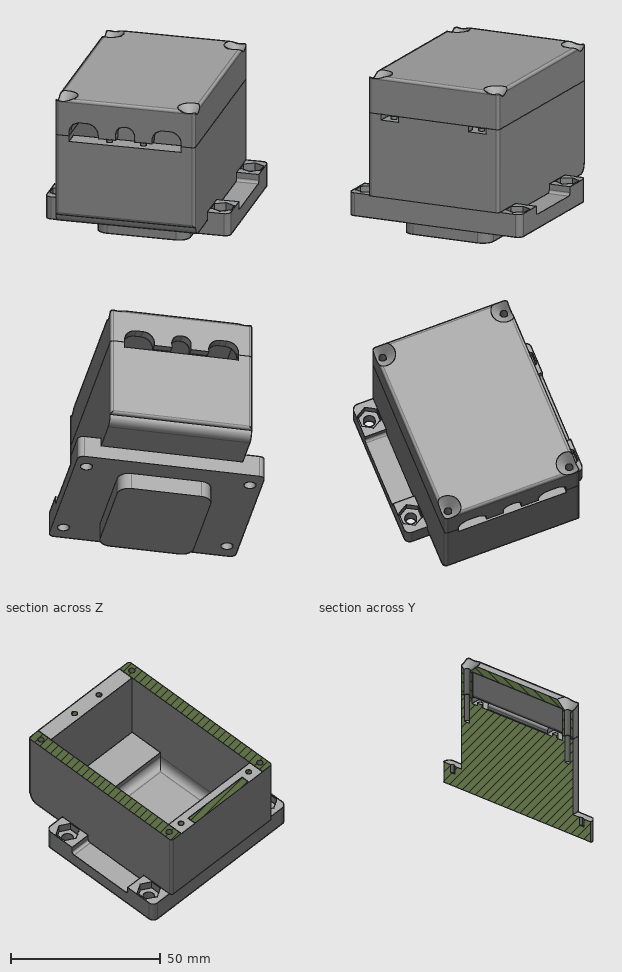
import cadquery as cq

plug_height = 6.0
skirt_bottom = 11.0
flange_top = 14.0
tray_floor = 41.0
split_height = 43.0
top_height = 56.0

box_width = 48.5
box_length = 67.0
edge_radius = 1.0
end_wall = 3.3
roof_thickness = 3.0
cavity_width = 39.0
cavity_length = box_length - 2 * end_wall

flange_width = 64.0
flange_length = 50.05
flange_corner_radius = 2.0
back_inset = 1.0
flange_y = box_length / 2 - back_inset - flange_length / 2
skirt_front_radius = flange_top - skirt_bottom
notch_length = 26.0
notch_radius = 1.0

bolt_spacing_x = 56.0
bolt_spacing_y = 38.0
bolt_hole_diameter = 4.0
nut_corner_diameter = 8.05
nut_pocket_depth = 3.0

plug_width = 32.0
plug_length = 36.0
plug_corner_radius = 4.0
plug_x = -0.5

ledge_depth = 2.7
pocket_length = cavity_length - 2 * ledge_depth
pocket_floor = flange_top
well_floor = 9.05
well_radius = 3.0
well_front_y = flange_y - flange_length / 2 + end_wall
well_length = pocket_length / 2 - well_front_y

pin_diameter = 2.0
pin_height = 1.0
pin_row_y = 30.15
front_pin_x_places = [-6.3, 5.5]
back_pin_x_places = [-16.3, 16.3]
back_tab_width = 26.0

arch_top = 48.05
side_arch_width = 10.2
side_arch_radius = 4.0
side_arch_x = (cavity_width - side_arch_width) / 2
middle_arch_width = 6.55
middle_arch_radius = 3.0

screw_inset_x = 2.4
screw_inset_y = 3.55
screw_spacing_x = box_width - 2 * screw_inset_x
screw_spacing_y = box_length - 2 * screw_inset_y
lid_hole_diameter = 2.5
base_hole_diameter = 2.0
base_hole_depth = 10.05
countersink_diameter = 8.7
countersink_angle = 90


def block(width, length, bottom, top, x=0, y=0):
    """Rectangular block centred on (x, y) between two heights."""
    return (
        cq.Workplane("XY", origin=(x, y, bottom))
        .rect(width, length)
        .extrude(top - bottom)
    )


def round_cavity_ends(body, face):
    """Round the front and back edges where a cavity opens through the chosen outer face."""
    rim = body.newObject(body.faces(face).val().innerWires()[0].Edges())
    return rim.edges("|X").fillet(edge_radius)


def flange():
    """Mounting plate with bolt holes, nut pockets and a notch along each side."""
    plate = block(flange_width, flange_length, plug_height, flange_top, y=flange_y)
    plate = plate.edges("|Z").fillet(flange_corner_radius)
    notch = block(flange_width, notch_length, skirt_bottom, flange_top, y=flange_y)
    notch = notch.edges("|X and <Z").fillet(notch_radius)
    bolt_places = cq.Workplane("XY", origin=(0, flange_y, flange_top)).rect(
        bolt_spacing_x, bolt_spacing_y, forConstruction=True
    ).vertices()
    bolt_holes = bolt_places.circle(bolt_hole_diameter / 2).extrude(plug_height - flange_top)
    nut_outline = cq.Sketch().regularPolygon(nut_corner_diameter / 2, 6)
    nut_pockets = bolt_places.placeSketch(nut_outline).extrude(-nut_pocket_depth)
    return plate.cut(notch).cut(bolt_holes).cut(nut_pockets)


def skirt():
    """Bottom of the base, reaching up into the tray block, with a round front edge."""
    length = box_length - 2 * back_inset
    return (
        block(box_width, length, skirt_bottom, flange_top + edge_radius)
        .edges("|X and <Y and <Z")
        .fillet(skirt_front_radius)
    )


def plug():
    """Rounded block under the flange."""
    body = block(plug_width, plug_length, 0, plug_height, plug_x, flange_y)
    return body.edges("|Z").fillet(plug_corner_radius)


def tray():
    """Upper part of the base, with a shallow tray open to the front and back."""
    body = block(box_width, box_length, flange_top, split_height)
    body = body.edges("|Z or (|X and <Y and <Z)").fillet(edge_radius)
    body = body.cut(block(cavity_width, cavity_length, tray_floor, split_height))
    body = round_cavity_ends(body, ">Z")

    end_y = (box_length - end_wall) / 2
    front_slot = block(cavity_width, end_wall, tray_floor, split_height, y=-end_y)
    back_slots = block(cavity_width, end_wall, tray_floor, split_height, y=end_y).cut(
        block(back_tab_width, end_wall, tray_floor, split_height, y=end_y)
    )
    return body.cut(front_slot).cut(back_slots)


def pins():
    """Short pins standing on the front and back ledges of the tray."""
    places = [(x, -pin_row_y) for x in front_pin_x_places]
    places += [(x, pin_row_y) for x in back_pin_x_places]
    return (
        cq.Workplane("XY", origin=(0, 0, tray_floor))
        .pushPoints(places)
        .circle(pin_diameter / 2)
        .extrude(pin_height)
    )


def pocket():
    """Space below the tray floor, with a round-bottomed well at the back."""
    main = block(cavity_width, pocket_length, pocket_floor, tray_floor)
    well_y = well_front_y + well_length / 2
    well = block(cavity_width, well_length, well_floor, tray_floor, y=well_y)
    return main.union(well.faces("<Z").edges().fillet(well_radius))


def base_screw_holes():
    """Blind holes that take the lid screws."""
    return (
        cq.Workplane("XY", origin=(0, 0, split_height))
        .rect(screw_spacing_x, screw_spacing_y, forConstruction=True)
        .vertices()
        .circle(base_hole_diameter / 2)
        .extrude(-base_hole_depth)
    )


def make_base():
    body = tray().union(skirt()).union(flange()).union(plug()).union(pins())
    return body.cut(pocket()).cut(base_screw_holes())


def arch(x, width, radius):
    """Cable opening through the front wall, with rounded upper corners."""
    body = block(width, end_wall, split_height, arch_top, x, (end_wall - box_length) / 2)
    return body.edges("|Y and >Z").fillet(radius)


def make_lid():
    body = block(box_width, box_length, split_height, top_height)
    body = body.edges("|Z or >Z").fillet(edge_radius)
    body = body.cut(block(cavity_width, cavity_length, split_height, top_height - roof_thickness))
    body = round_cavity_ends(body, "<Z")
    for side in (-1, 1):
        body = body.cut(arch(side * side_arch_x, side_arch_width, side_arch_radius))
    body = body.cut(arch(0, middle_arch_width, middle_arch_radius))
    return (
        body.faces(">Z")
        .workplane(origin=(0, 0, top_height))
        .rect(screw_spacing_x, screw_spacing_y, forConstruction=True)
        .vertices()
        .cskHole(lid_hole_diameter, countersink_diameter, countersink_angle)
    )


base = make_base()
lid = make_lid()

result = cq.Compound.makeCompound([base.val(), lid.val()])